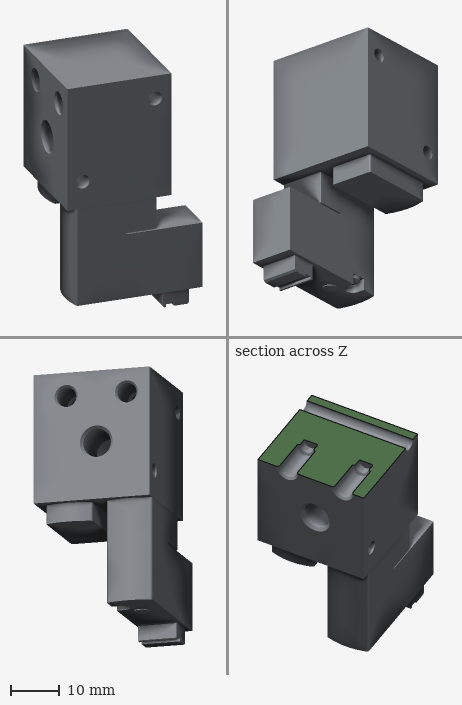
import cadquery as cq
import math


block_width = 25.0
block_depth = 23.0
block_height = 27.25
overall_height = 52.55
upper_row_z = block_height - 5.1
port_drill_angle = 118.0
small_port_centers_x = (7.0, 20.0)
small_port_diameter = 4.13
small_port_mouth_diameter = 5.0
small_port_depth = 8.0
pilot_diameter = 3.1
pilot_depth = 10.0
main_port_x = 13.5
main_port_z = block_height - 15.25
main_port_diameter = 5.92
main_port_mouth_diameter = 7.1
main_port_depth = 10.0
cross_hole_diameter = 3.0
cross_hole_centers = ((19.4, upper_row_z), (3.4, block_height - 21.25))

plate_back_y = 19.8
corner_radius = 0.5

cover_center_x = small_port_centers_x[0]
cover_width = 10.0
cover_height = 4.0
cover_front_y = 1.42
cover_bow_radius = 14.5
cover_back_radius = 0.4

valve_width = 9.8
valve_center_x = small_port_centers_x[1]
valve_left_x = valve_center_x - valve_width / 2
valve_front_y = 1.4
valve_bow_radius = 15.9
base_height = 7.0
base_back_radius = 0.2
valve_back_y = 29.9
valve_top_z = -base_height
valve_bottom_z = -21.7
relief_height = 0.3
relief_front_y = 13.1

screw_x = 16.7
screw_y = 7.35
slot_width = 3.4
slot_height = 2.55
head_diameter = 3.1
head_rim_height = 0.72
head_dome_height = 0.52

button_diameter = 3.3
button_y = 10.75
button_height = 0.17

connector_width = 8.3
connector_front_y = 21.5
connector_back_y = 27.25
connector_bottom_z = block_height - overall_height
connector_chamfer = 0.4
connector_lip = 0.3
groove_front_y = 22.15
groove_back_y = 23.85
groove_depth = 0.6


def port(center_x, center_z, diameter, mouth_diameter, depth):
    """Drilled hole entering the front face, with a 45 degree mouth and a conical end."""
    radius = diameter / 2
    mouth_radius = mouth_diameter / 2
    tip_length = radius / math.tan(math.radians(port_drill_angle / 2))
    half_section = [
        (0, 0),
        (mouth_radius, 0),
        (radius, mouth_radius - radius),
        (radius, depth),
        (0, depth + tip_length),
    ]
    drill = cq.Workplane("XY").polyline(half_section).close().revolve(360, (0, 0, 0), (0, 1, 0))
    return drill.translate((center_x, 0, center_z))


def make_block():
    block = cq.Workplane("XY").box(block_width, block_depth, block_height, centered=False)
    for center_x in small_port_centers_x:
        block = block.cut(
            port(center_x, upper_row_z, small_port_diameter, small_port_mouth_diameter, small_port_depth)
        )
        pilot = cq.Solid.makeCylinder(
            pilot_diameter / 2, pilot_depth, cq.Vector(center_x, 0, upper_row_z), cq.Vector(0, 1, 0)
        )
        block = block.cut(cq.Workplane(pilot))
    block = block.cut(
        port(main_port_x, main_port_z, main_port_diameter, main_port_mouth_diameter, main_port_depth)
    )
    cross_holes = (
        cq.Workplane("YZ").pushPoints(cross_hole_centers).circle(cross_hole_diameter / 2).extrude(block_width)
    )
    return block.cut(cross_holes)


def bow_fronted_bar(center_x, width, front_y, back_y, bow_radius, top_z, bottom_z):
    """Upright bar with a bowed front face and rounded front corners."""
    half_width = width / 2
    shoulder_y = front_y + bow_radius - math.sqrt(bow_radius**2 - half_width**2)
    bar = (
        cq.Workplane("XY", origin=(center_x, 0, bottom_z))
        .moveTo(-half_width, back_y)
        .lineTo(-half_width, shoulder_y)
        .threePointArc((0, front_y), (half_width, shoulder_y))
        .lineTo(half_width, back_y)
        .close()
        .extrude(top_z - bottom_z)
    )
    return bar.faces("<Y").edges("|Z").fillet(corner_radius)


def make_cover():
    cover = bow_fronted_bar(
        cover_center_x, cover_width, cover_front_y, plate_back_y, cover_bow_radius, 0, -cover_height
    )
    return cover.faces(">Y").edges("|Z").fillet(cover_back_radius)


def make_base():
    base = bow_fronted_bar(
        valve_center_x, valve_width, valve_front_y, plate_back_y, valve_bow_radius, 0, valve_top_z
    )
    return base.faces(">Y").edges("|Z").fillet(base_back_radius)


def make_valve_body():
    body = bow_fronted_bar(
        valve_center_x, valve_width, valve_front_y, valve_back_y, valve_bow_radius,
        valve_top_z, valve_bottom_z,
    )
    relief = (
        cq.Workplane("XY", origin=(valve_left_x, relief_front_y, valve_top_z))
        .rect(valve_width, valve_back_y - relief_front_y, centered=False)
        .extrude(-relief_height)
    )
    slot_plane = cq.Workplane("XY", origin=(screw_x, screw_y, valve_bottom_z))
    slot_round = slot_plane.circle(slot_width / 2).extrude(slot_height)
    slot_length = screw_x - valve_left_x
    slot_mouth = slot_plane.center(-slot_length / 2, 0).rect(slot_length, slot_width).extrude(slot_height)
    return body.cut(relief).cut(slot_round).cut(slot_mouth)


def make_screw_head():
    radius = head_diameter / 2
    dome_radius = (radius**2 + head_dome_height**2) / (2 * head_dome_height)
    half_angle = math.asin(radius / dome_radius) / 2
    dome_center_z = -head_rim_height - head_dome_height + dome_radius
    dome_middle = (
        dome_radius * math.sin(half_angle),
        dome_center_z - dome_radius * math.cos(half_angle),
    )
    head = (
        cq.Workplane("XZ")
        .lineTo(radius, 0)
        .lineTo(radius, -head_rim_height)
        .threePointArc(dome_middle, (0, -head_rim_height - head_dome_height))
        .close()
        .revolve(360, (0, 0, 0), (0, 1, 0))
    )
    return head.translate((screw_x, screw_y, valve_bottom_z + slot_height))


def make_button():
    underside = cq.Workplane("XY", origin=(valve_center_x, button_y, valve_bottom_z))
    return underside.circle(button_diameter / 2).extrude(-button_height)


def make_connector():
    side_outline = [
        (connector_back_y, valve_bottom_z),
        (connector_back_y, connector_bottom_z + connector_chamfer),
        (connector_back_y - connector_chamfer, connector_bottom_z),
        (groove_back_y, connector_bottom_z),
        (groove_back_y, connector_bottom_z + groove_depth),
        (groove_front_y, connector_bottom_z + groove_depth),
        (groove_front_y, connector_bottom_z),
        (connector_front_y + connector_chamfer / 2, connector_bottom_z),
        (connector_front_y, connector_bottom_z + connector_chamfer / 2),
        (connector_front_y, valve_bottom_z - connector_lip),
        (connector_front_y - connector_lip, valve_bottom_z),
    ]
    left_x = valve_center_x - connector_width / 2
    return cq.Workplane("YZ", origin=(left_x, 0, 0)).polyline(side_outline).close().extrude(connector_width)


block = make_block()
cover = make_cover()
valve_base = make_base()
valve_body = make_valve_body()
screw_head = make_screw_head()
button = make_button()
connector = make_connector()

result = cq.Compound.makeCompound(
    [
        block.val(),
        cover.val(),
        valve_base.val(),
        valve_body.val(),
        screw_head.val(),
        button.val(),
        connector.val(),
    ]
)